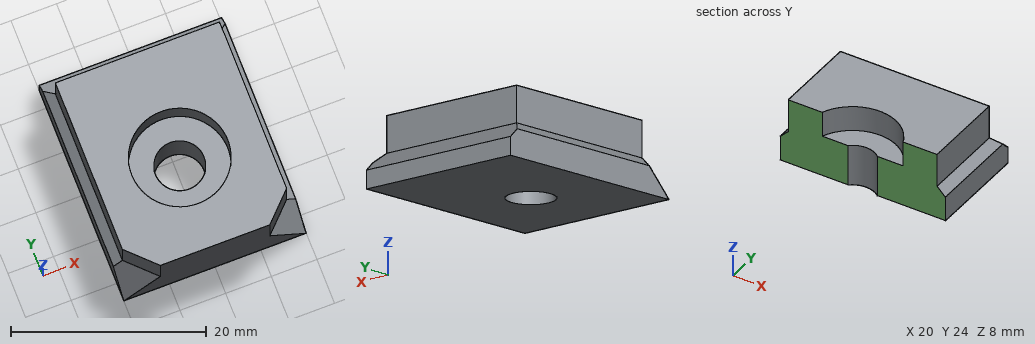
import cadquery as cq
import math

width = 20.0
length = 24.0
height = 8.0

flange_height = height / 2
rear_ledge = flange_height / 2
side_ledge = rear_ledge / 2

corner_leg = flange_height

hole_from_front = 10.0
hole_diameter = 5.3
counterbore_diameter = 10.5
counterbore_depth = 3.0


def make_body():
    """Stepped cross-section along Y, intersected with the stepped side outline."""
    half_width = width / 2
    block_half_width = half_width - side_ledge
    block_rear = length - rear_ledge
    cross_section = [
        (-half_width, 0),
        (half_width, 0),
        (half_width, flange_height - side_ledge),
        (block_half_width, flange_height),
        (block_half_width, height),
        (-block_half_width, height),
        (-block_half_width, flange_height),
        (-half_width, flange_height - side_ledge),
    ]
    side_outline = [
        (0, 0),
        (length, 0),
        (length, flange_height - rear_ledge),
        (block_rear, flange_height),
        (block_rear, height),
        (0, height),
    ]
    across = cq.Workplane("XZ").polyline(cross_section).close().extrude(-length)
    along = cq.Workplane("YZ").polyline(side_outline).close().extrude(half_width, both=True)
    return across.intersect(along)


def make_corner_cutter(side):
    """Prism for one front corner; side is -1 for left and +1 for right."""
    diagonal_plane = cq.Plane(
        origin=(side * width / 2, 0, 0),
        xDir=(-side, 1, 0),
        normal=(1, side, 0),
    )
    inset = corner_leg / math.sqrt(2)
    profile = [
        (0, 0),
        (inset, flange_height),
        (inset, height),
        (-inset, height),
        (-inset, 0),
    ]
    reach = 2 * corner_leg
    return cq.Workplane(diagonal_plane).polyline(profile).close().extrude(reach, both=True)


result = make_body()
for side in (-1, 1):
    result = result.cut(make_corner_cutter(side))

result = (
    result.faces(">Z")
    .workplane(origin=(0, hole_from_front, height))
    .cboreHole(hole_diameter, counterbore_diameter, counterbore_depth)
)